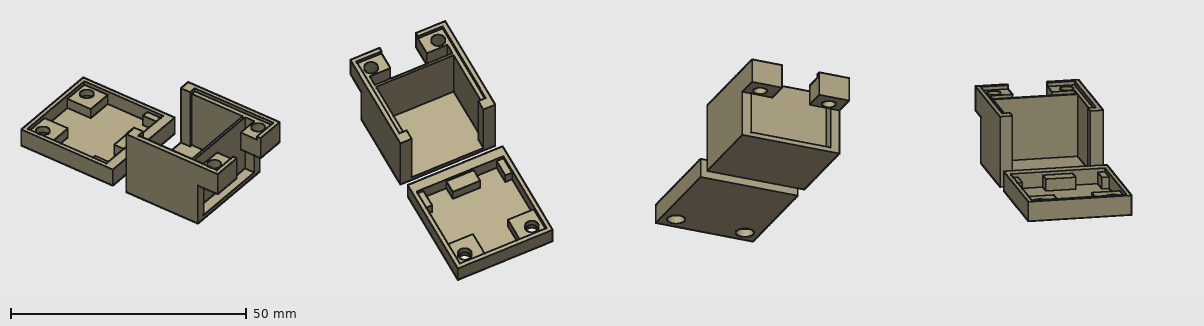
import cadquery as cq

total_length = 51.5
width = 22.5
body_length = 24.0
housing_height = 15.55
lid_height = 4.35
lid_lift = 0.15
housing_x = total_length - body_length

hole_diameter = 3.0
hole_inset = 3.3
head_diameter = 3.9
head_depth = 1.8

lid_wall = 1.0
lid_hinge_wall = 2.35
lid_floor = 1.0
boss_size = 6.15
boss_height = 2.4
stop_length = 3.05
stop_width = 6.5
stop_height = 2.65
rib_length = 4.1
rib_width = 1.6
rib_height = 2.5

rim_wall = 1.0
rim_wall_front = 1.1
rim_depth = 0.8
cavity_wall = 2.05
housing_floor = 1.05
post_length = 2.4
post_width_front = 2.85
post_width_back = 2.7
ear_length = 5.2
ear_height = 5.35
ear_width = 6.95
slot_length = 2.4
partition = 0.55


def block(x0, x1, y0, y1, z0, z1):
    """Box between two opposite corners."""
    return cq.Workplane("XY").box(x1 - x0, y1 - y0, z1 - z0, centered=False).translate((x0, y0, z0))


def corner_holes(x, diameter, z0, z1):
    """Pair of vertical cylinders at the two screw positions."""
    return (
        cq.Workplane("XY", origin=(0, 0, z0))
        .pushPoints([(x, hole_inset), (x, width - hole_inset)])
        .circle(diameter / 2)
        .extrude(z1 - z0)
    )


def make_lid():
    """Shallow tray with two screw bosses, a central stop and two side ribs."""
    bottom = lid_lift
    top = bottom + lid_height
    floor = bottom + lid_floor
    inner_end = body_length - lid_hinge_wall
    inner_back = width - lid_wall

    lid = block(0, body_length, 0, width, bottom, top)
    lid = lid.cut(block(lid_wall, inner_end, lid_wall, inner_back, floor, top))

    for y in (lid_wall, inner_back - boss_size):
        lid = lid.union(block(lid_wall, lid_wall + boss_size, y, y + boss_size, bottom, floor + boss_height))
    for y in (lid_wall, inner_back - rib_width):
        lid = lid.union(block(inner_end - rib_length, inner_end, y, y + rib_width, bottom, floor + rib_height))
    stop_y = (width - stop_width) / 2
    lid = lid.union(
        block(inner_end - stop_length, inner_end, stop_y, stop_y + stop_width, bottom, floor + stop_height)
    )

    lid = lid.cut(corner_holes(hole_inset, hole_diameter, bottom, top))
    return lid.cut(corner_holes(hole_inset, head_diameter, bottom, bottom + head_depth))


def make_housing():
    """Box open at the top and at -X, with a rear slot and two overhanging screw ears."""
    top = housing_height
    ledge = top - rim_depth
    ear_x = total_length - ear_length
    slot_x = ear_x - slot_length
    post_end = housing_x + post_length
    cavity_back = width - cavity_wall

    housing = block(housing_x, total_length, 0, width, 0, top)

    housing = housing.cut(block(ear_x, total_length, 0, width, 0, top - ear_height))
    housing = housing.cut(block(ear_x, total_length, ear_width, width - ear_width, 0, top))

    housing = housing.cut(
        block(post_end, total_length - rim_wall, rim_wall_front, width - rim_wall, ledge, top)
    )

    housing = housing.cut(
        block(post_end, slot_x - partition, cavity_wall, cavity_back, housing_floor, top)
    )
    housing = housing.cut(
        block(housing_x, post_end, post_width_front, width - post_width_back, housing_floor, top)
    )

    housing = housing.cut(block(slot_x, ear_x, cavity_wall, cavity_back, housing_floor, top))

    return housing.cut(
        corner_holes(total_length - hole_inset, hole_diameter, top - ear_height, top)
    )


lid = make_lid()
housing = make_housing()
result = cq.Compound.makeCompound([lid.val(), housing.val()])